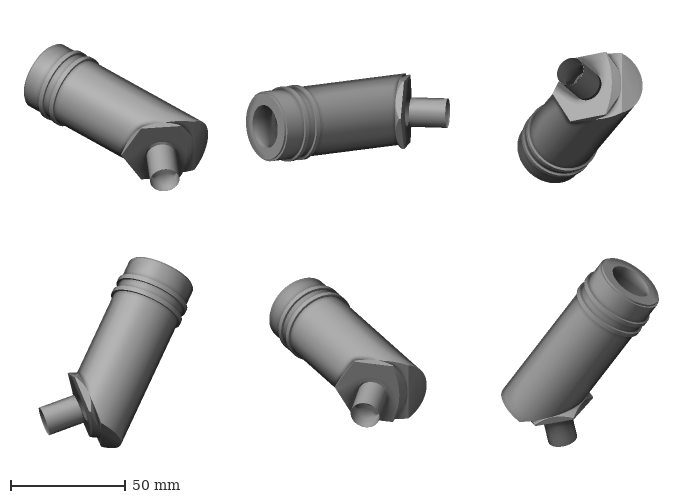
import cadquery as cq
import math

barrel_diameter = 30.8
barrel_length = 80.0
nose_diameter = 29.1
nose_length = 1.0

recess_diameter = 19.0
recess_depth = 10.0
bore_diameter = 13.0
elbow_x = 64.5
outlet_angle = 45.0

hex_across_flats = 30.1
hex_thickness = 3.0
hex_face_distance = 9.85
trim_radius = 50.05
trim_reach_x = 79.7

ring_diameter = 33.0
ring_width = 2.0
ring_positions = [10.0, 16.0]

tube_wall = 0.1
tube_gap = 1.8
tube_length = 16.15

hex_back_distance = hex_face_distance - hex_thickness
hex_corner_diameter = hex_across_flats / math.cos(math.radians(30))
bevel_back_radius = hex_across_flats / 2
bevel_face_radius = bevel_back_radius + hex_thickness
tube_start_distance = hex_face_distance + tube_gap

outlet_x = math.cos(math.radians(outlet_angle))
outlet_y = -math.sin(math.radians(outlet_angle))
elbow = cq.Vector(elbow_x, 0, 0)
outlet_direction = cq.Vector(outlet_x, outlet_y, 0)


def outlet_plane(distance):
    """Plane square to the outlet axis; its local x lies in XY, its local y is +Z."""
    return cq.Plane(
        origin=elbow + outlet_direction * distance,
        xDir=(-outlet_y, outlet_x, 0),
        normal=outlet_direction,
    )


def axial_cylinder(diameter, start, length):
    """Solid cylinder on the X axis."""
    return cq.Workplane("YZ", origin=(start, 0, 0)).circle(diameter / 2).extrude(length)


def make_barrel():
    """Stepped barrel, cut off obliquely on the back plane of the hexagon."""
    nose = axial_cylinder(nose_diameter, 0, nose_length)
    main = axial_cylinder(barrel_diameter, nose_length, barrel_length - nose_length)
    cutter_size = 2 * barrel_length
    cutter = cq.Workplane(outlet_plane(hex_back_distance)).rect(cutter_size, cutter_size).extrude(cutter_size)
    return nose.union(main).cut(cutter)


def make_hex_seat():
    """Hexagon with a conical bevel toward the barrel and a rounded far corner."""
    back = cq.Workplane(outlet_plane(hex_back_distance))
    prism = back.polygon(6, hex_corner_diameter).extrude(hex_thickness)
    bevel = cq.Workplane(
        cq.Solid.makeCone(
            bevel_back_radius,
            bevel_face_radius,
            hex_thickness,
            pnt=elbow + outlet_direction * hex_back_distance,
            dir=outlet_direction,
        )
    )
    trim = (
        cq.Workplane("XZ", origin=(trim_reach_x - trim_radius, 0, 0))
        .circle(trim_radius)
        .extrude(barrel_length, both=True)
    )
    return prism.intersect(bevel).intersect(trim)


def make_passage():
    """Nose recess and the mitred bore leading out through the hexagon."""
    recess = axial_cylinder(recess_diameter, 0, recess_depth)
    outlet_end = elbow + outlet_direction * hex_face_distance
    path = cq.Workplane("XY").polyline([(0, 0), (elbow.x, elbow.y), (outlet_end.x, outlet_end.y)])
    bore = cq.Workplane("YZ").circle(bore_diameter / 2).sweep(path, transition="right")
    return recess.union(bore)


def make_housing():
    return make_barrel().union(make_hex_seat()).cut(make_passage()).solids()


def make_ring(start):
    """Plain ring seated on the barrel surface."""
    return (
        cq.Workplane("YZ", origin=(start, 0, 0))
        .circle(ring_diameter / 2)
        .circle(barrel_diameter / 2)
        .extrude(ring_width)
    )


def make_outlet_tube():
    return (
        cq.Workplane(outlet_plane(tube_start_distance))
        .circle(bore_diameter / 2)
        .circle(bore_diameter / 2 - tube_wall)
        .extrude(tube_length)
    )


housing = make_housing()
rings = [make_ring(start) for start in ring_positions]
outlet_tube = make_outlet_tube()

result = cq.Compound.makeCompound(
    [housing.val(), *[ring.val() for ring in rings], outlet_tube.val()]
)